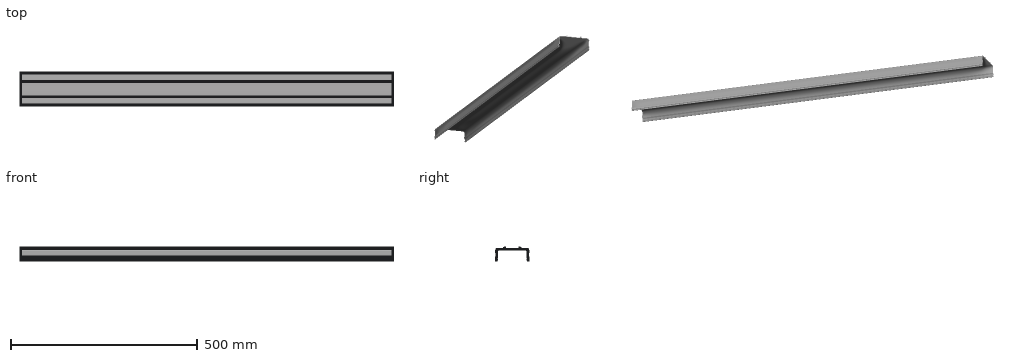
import cadquery as cq
import math

length = 1000.0
width = 88.53
height = 34.97
half_width = width / 2

sheet = 1.4
corner_radius = 6.0
rib_height = 3.3
rib_width = 2.3
rib_inner_y = 19.2
rib_slope = math.radians(28)
deck_z = height - rib_height
corner_z = deck_z - corner_radius

wall_inset = 1.1
wall_lean = math.radians(4)
shoulder_slope = math.radians(36)
undercut_slope = math.radians(54)
lip_flare = math.radians(27)
bead_top_z = 8.0
neck_z = 3.2

wall_y = half_width - wall_inset
deck_end_y = wall_y - corner_radius
neck_y = half_width - neck_z * math.tan(lip_flare)
bead_bottom_z = neck_z + (half_width - neck_y) / math.tan(undercut_slope)

wall_foot_z = (
    half_width - wall_y + bead_top_z * math.tan(shoulder_slope) + corner_z * math.tan(wall_lean)
) / (math.tan(shoulder_slope) + math.tan(wall_lean))
wall_foot_y = wall_y - (corner_z - wall_foot_z) * math.tan(wall_lean)

leg_outer_points = [
    (wall_y, corner_z),
    (wall_foot_y, wall_foot_z),
    (half_width, bead_top_z),
    (half_width, bead_bottom_z),
    (neck_y, neck_z),
    (half_width, 0),
]
leg_inner_points = [(y - sheet, z) for y, z in leg_outer_points]


def half_channel():
    """Half of the channel on the +Y side: deck, rounded corner and leg."""
    profile = cq.Workplane("YZ").moveTo(0, deck_z).lineTo(deck_end_y, deck_z)
    profile = profile.radiusArc(leg_outer_points[0], corner_radius)
    for point in leg_outer_points[1:] + leg_inner_points[::-1]:
        profile = profile.lineTo(*point)
    profile = profile.radiusArc((deck_end_y, deck_z - sheet), -(corner_radius - sheet))
    return profile.lineTo(0, deck_z - sheet).close().extrude(length)


def rib():
    """Rib along the deck with upright sides and a top that slopes down outward, rooted in the sheet."""
    root_z = deck_z - sheet / 2
    shoulder_z = height - rib_width * math.tan(rib_slope)
    outer_y = rib_inner_y + rib_width
    return (
        cq.Workplane("YZ")
        .moveTo(rib_inner_y, root_z)
        .lineTo(rib_inner_y, height)
        .lineTo(outer_y, shoulder_z)
        .lineTo(outer_y, root_z)
        .close()
        .extrude(length)
    )


half_cover = half_channel().union(rib())
cover = half_cover.union(half_cover.mirror("XZ")).clean()
result = cover.translate((-length / 2, 0, 0))